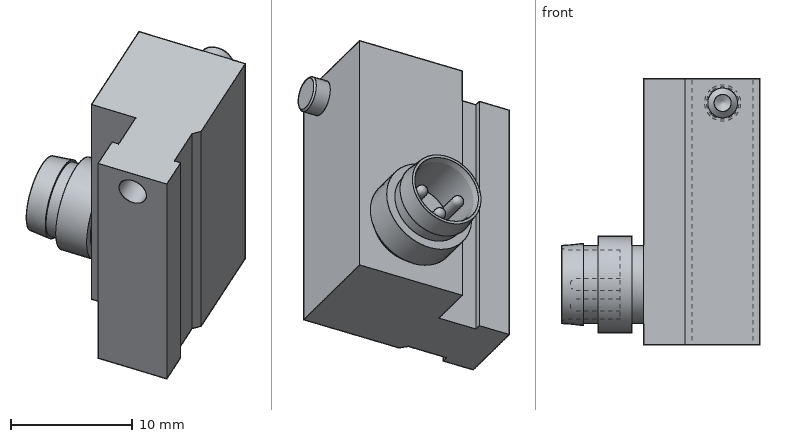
import cadquery as cq


HEIGHT = 22.0
BLOCK_WIDTH = 9.61
BLOCK_BACK_Y = 16.0
BLOCK_FRONT_Y = 6.31
STEM_LEFT_X = -5.6
FOOT_WIDTH = 6.2
FOOT_DEPTH = 2.84
UNDERCUT = 0.57
UNDERCUT_RAMP_Y = 6.42

CONNECTOR_Y = 11.5
CONNECTOR_Z = 5.0
CONNECTOR_LENGTH = 6.78
NECK_DIAMETER = 6.47
COLLAR_DIAMETER = 8.0
COLLAR_GAP = 0.97
COLLAR_LENGTH = 2.8
FLARE_DIAMETER = 6.82
FLARE_LENGTH = 1.8
BORE_DIAMETER = 5.7
BORE_DEPTH = 4.85
MOUTH_DIAMETER = 5.98
MOUTH_DEPTH = 0.53

PIN_DIAMETER = 1.0
PIN_OFFSET = 1.7
PIN_TIP_RECESS = 0.73
PIN_TIP_FILLET = 0.46

SCREW_DIAMETER = 3.0
SCREW_X = -3.08
SCREW_Z = HEIGHT - 2.0
SCREW_PROTRUSION = 1.47
SCREW_TIP_Y = 5.5
SCREW_END_CHAMFER = 0.15
CUP_DIAMETER = 1.4
CUP_DEPTH = 0.45
PASSAGE_DIAMETER = 2.46

MOUTH_X = -BLOCK_WIDTH - CONNECTOR_LENGTH
BORE_FLOOR_X = MOUTH_X + BORE_DEPTH
SCREW_TAPER = (SCREW_DIAMETER - CUP_DIAMETER) / 2


def revolve_connector(points):
    """Revolve an outline of (X, radius) points about the connector axis."""
    return (
        cq.Workplane("XY", origin=(0, CONNECTOR_Y, CONNECTOR_Z))
        .polyline(points)
        .close()
        .revolve(360, (0, 0, 0), (1, 0, 0))
    )


def revolve_screw(points):
    """Revolve an outline of (radius, Y) points about the screw axis."""
    return (
        cq.Workplane("XY", origin=(SCREW_X, 0, SCREW_Z))
        .polyline(points)
        .close()
        .revolve(360, (0, 0, 0), (0, 1, 0))
    )


def make_block():
    foot_left_x = -FOOT_WIDTH
    outline = [
        (0, 0),
        (0, FOOT_DEPTH),
        (-UNDERCUT, FOOT_DEPTH),
        (-UNDERCUT, UNDERCUT_RAMP_Y),
        (0, UNDERCUT_RAMP_Y + UNDERCUT),
        (0, BLOCK_BACK_Y),
        (-BLOCK_WIDTH, BLOCK_BACK_Y),
        (-BLOCK_WIDTH, BLOCK_FRONT_Y),
        (STEM_LEFT_X, BLOCK_FRONT_Y),
        (STEM_LEFT_X, FOOT_DEPTH),
        (foot_left_x, FOOT_DEPTH),
        (foot_left_x, 0),
    ]
    return cq.Workplane("XY").polyline(outline).close().extrude(HEIGHT)


def make_connector_shell():
    neck_radius = NECK_DIAMETER / 2
    collar_radius = COLLAR_DIAMETER / 2
    collar_right_x = -BLOCK_WIDTH - COLLAR_GAP
    collar_left_x = collar_right_x - COLLAR_LENGTH
    flare_x = MOUTH_X + FLARE_LENGTH
    return revolve_connector([
        (-BLOCK_WIDTH, 0),
        (-BLOCK_WIDTH, neck_radius),
        (collar_right_x, neck_radius),
        (collar_right_x, collar_radius),
        (collar_left_x, collar_radius),
        (collar_left_x, neck_radius),
        (flare_x, neck_radius),
        (flare_x, FLARE_DIAMETER / 2),
        (MOUTH_X, neck_radius),
        (MOUTH_X, 0),
    ])


def make_connector_bore():
    return revolve_connector([
        (MOUTH_X, 0),
        (MOUTH_X, MOUTH_DIAMETER / 2),
        (MOUTH_X + MOUTH_DEPTH, BORE_DIAMETER / 2),
        (BORE_FLOOR_X, BORE_DIAMETER / 2),
        (BORE_FLOOR_X, 0),
    ])


def make_pin(offset_y, offset_z):
    origin = (BORE_FLOOR_X, CONNECTOR_Y + offset_y, CONNECTOR_Z + offset_z)
    return (
        cq.Workplane("YZ", origin=origin)
        .circle(PIN_DIAMETER / 2)
        .extrude(PIN_TIP_RECESS - BORE_DEPTH)
        .faces("<X")
        .edges()
        .fillet(PIN_TIP_FILLET)
    )


def make_screw_hole():
    """Hole that fits the screw, narrowing to the passage that opens at the foot."""
    passage_radius = PASSAGE_DIAMETER / 2
    screw_radius = SCREW_DIAMETER / 2
    shoulder_y = SCREW_TIP_Y + SCREW_TAPER
    return revolve_screw([
        (0, 0),
        (passage_radius, 0),
        (passage_radius, shoulder_y),
        (screw_radius, shoulder_y),
        (screw_radius, BLOCK_BACK_Y),
        (0, BLOCK_BACK_Y),
    ])


def make_housing():
    housing = make_block().union(make_connector_shell()).cut(make_connector_bore())
    for offset_y, offset_z in [(-PIN_OFFSET, 0), (PIN_OFFSET, 0), (0, -PIN_OFFSET)]:
        housing = housing.union(make_pin(offset_y, offset_z))
    return housing.cut(make_screw_hole())


def make_screw():
    """Set screw with a hollow cone point and a chamfered rear end."""
    radius = SCREW_DIAMETER / 2
    end_y = BLOCK_BACK_Y + SCREW_PROTRUSION
    return revolve_screw([
        (0, SCREW_TIP_Y + CUP_DEPTH),
        (CUP_DIAMETER / 2, SCREW_TIP_Y),
        (radius, SCREW_TIP_Y + SCREW_TAPER),
        (radius, end_y - SCREW_END_CHAMFER),
        (radius - SCREW_END_CHAMFER, end_y),
        (0, end_y),
    ])


housing = make_housing()
screw = make_screw()

result = cq.Compound.makeCompound([housing.val(), screw.val()])